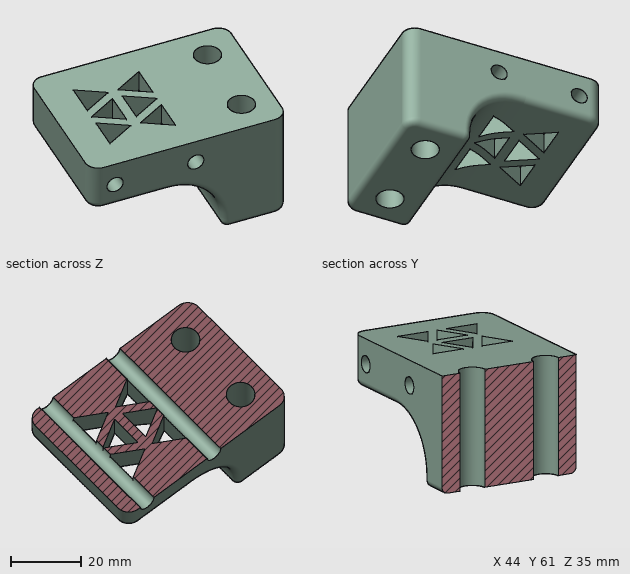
import cadquery as cq
import math

WIDTH = 44.0
LENGTH = 61.0
HEIGHT = 35.0
FRONT_Y = -LENGTH / 2
BACK_Y = LENGTH / 2

PLATE_THICKNESS = 15.0
LEG_DEPTH = 20.0
INNER_CURVE_RADIUS = 17.0
CORNER_RADIUS = 4.0
LOWER_EDGE_RADIUS = 2.0

MOUNT_HOLE_DIAMETER = 8.0
MOUNT_HOLE_SPACING = 24.0
MOUNT_HOLE_FROM_BACK = 10.0

CROSS_HOLE_DIAMETER = 5.0
CROSS_HOLE_FROM_FRONT = 7.5
CROSS_HOLE_SPACING = 25.0

TRIANGLE_SIDE = 10.0
TRIANGLE_PITCH = 8.0
TRIANGLE_ROW_GAP = 3.0
TRIANGLE_PATTERN_FROM_FRONT = 20.0
TRIANGLE_HEIGHT = TRIANGLE_SIDE * math.sqrt(3) / 2


def make_body():
    """Plate and leg joined by a concave quarter round, with rounded outer edges."""
    leg_front_y = BACK_Y - LEG_DEPTH
    plate_bottom_z = HEIGHT - PLATE_THICKNESS
    curve_center_y = leg_front_y - INNER_CURVE_RADIUS
    curve_center_z = plate_bottom_z - INNER_CURVE_RADIUS
    curve_offset = INNER_CURVE_RADIUS * math.cos(math.pi / 4)
    curve_middle = (curve_center_y + curve_offset, curve_center_z + curve_offset)

    body = (
        cq.Workplane("YZ")
        .moveTo(FRONT_Y, HEIGHT)
        .lineTo(BACK_Y, HEIGHT)
        .lineTo(BACK_Y, 0)
        .lineTo(leg_front_y, 0)
        .lineTo(leg_front_y, curve_center_z)
        .threePointArc(curve_middle, (curve_center_y, plate_bottom_z))
        .lineTo(FRONT_Y, plate_bottom_z)
        .close()
        .extrude(WIDTH / 2, both=True)
    )
    body = body.faces("<Y or >Y").edges("|Z").fillet(CORNER_RADIUS)

    leg_edges = body.faces("<Z").edges("|X")
    plate_front_edge = body.faces("<Y").edges("<Z")
    return leg_edges.add(plate_front_edge).fillet(LOWER_EDGE_RADIUS)


def make_mount_holes():
    """Vertical through holes near the back."""
    half_spacing = MOUNT_HOLE_SPACING / 2
    hole_y = BACK_Y - MOUNT_HOLE_FROM_BACK
    return (
        cq.Workplane("XY")
        .pushPoints([(-half_spacing, hole_y), (half_spacing, hole_y)])
        .circle(MOUNT_HOLE_DIAMETER / 2)
        .extrude(HEIGHT)
    )


def make_cross_holes():
    """Through holes from side to side in the plate."""
    first_y = FRONT_Y + CROSS_HOLE_FROM_FRONT
    hole_z = HEIGHT - PLATE_THICKNESS / 2
    return (
        cq.Workplane("YZ")
        .pushPoints([(first_y, hole_z), (first_y + CROSS_HOLE_SPACING, hole_z)])
        .circle(CROSS_HOLE_DIAMETER / 2)
        .extrude(WIDTH / 2, both=True)
    )


def make_triangle(center_x, base_y, tip_y):
    """Vertical triangular prism with its base along X."""
    half_side = TRIANGLE_SIDE / 2
    corners = [(center_x - half_side, base_y), (center_x + half_side, base_y), (center_x, tip_y)]
    return cq.Workplane("XY").polyline(corners).close().extrude(HEIGHT)


def make_triangle_windows():
    """Windows in two mirrored rows, pointing alternately inward and outward."""
    pattern_center_y = FRONT_Y + TRIANGLE_PATTERN_FROM_FRONT
    inner_offset = TRIANGLE_ROW_GAP / 2
    outer_offset = inner_offset + TRIANGLE_HEIGHT
    windows = cq.Workplane("XY")
    for row_sign in (-1, 1):
        inner_y = pattern_center_y + row_sign * inner_offset
        outer_y = pattern_center_y + row_sign * outer_offset
        windows.add(make_triangle(-TRIANGLE_PITCH, outer_y, inner_y))
        windows.add(make_triangle(0, inner_y, outer_y))
        windows.add(make_triangle(TRIANGLE_PITCH, outer_y, inner_y))
    return windows.combine()


result = (
    make_body()
    .cut(make_mount_holes())
    .cut(make_cross_holes())
    .cut(make_triangle_windows())
)